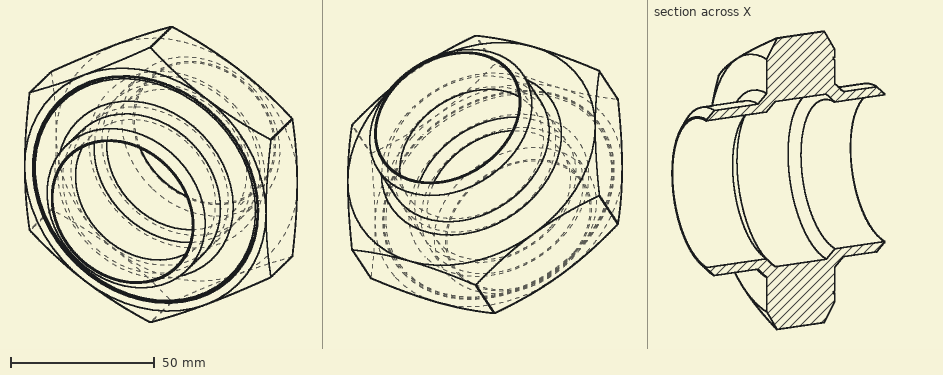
import cadquery as cq
import math

across_flats = 92.0
corner_diameter = 106.07
hex_width = 26.5
corner_chamfer_angle = 30.0

total_length = 69.0
front_end_length = 19.25
pipe_diameter = 60.3
collar_diameter = 67.0
end_face_width = 0.5
collar_height = (collar_diameter - pipe_diameter) / 2

bore_diameter = 53.3
chamber_depth = collar_height

groove_outer_diameter = 86.0
groove_floor_width = 0.5
groove_depth = 0.5

front_y = -front_end_length
back_y = front_y + total_length


def revolve_about_y(points):
    """Solid of revolution about Y from (radius, Y) points."""
    profile = cq.Workplane("XY").polyline(points).close()
    return profile.revolve(360, (0, 0, 0), (0, 1, 0))


def make_hexagon():
    """Hexagonal prism with vertical flats on +-X and both rims turned to cones."""
    flat_radius = across_flats / 2
    corner_radius = corner_diameter / 2
    drop = (corner_radius - flat_radius) * math.tan(math.radians(corner_chamfer_angle))
    prism = (
        cq.Workplane("XZ")
        .polygon(6, across_flats, circumscribed=True)
        .extrude(-hex_width)
    )
    turned_blank = revolve_about_y([
        (0, 0),
        (flat_radius, 0),
        (corner_radius, drop),
        (corner_radius, hex_width - drop),
        (flat_radius, hex_width),
        (0, hex_width),
    ])
    return prism.intersect(turned_blank)


def make_welding_end(face_y, end_y):
    """Pipe end with a conical collar at the hexagon face and a beveled tip."""
    outward = math.copysign(1, end_y - face_y)
    pipe_radius = pipe_diameter / 2
    tip_radius = bore_diameter / 2 + end_face_width
    bevel = pipe_radius - tip_radius
    return revolve_about_y([
        (0, face_y),
        (collar_diameter / 2, face_y),
        (pipe_radius, face_y + outward * collar_height),
        (pipe_radius, end_y - outward * bevel),
        (tip_radius, end_y),
        (0, end_y),
    ])


def make_bore():
    """Through bore that widens into a chamber between the hexagon faces."""
    bore_radius = bore_diameter / 2
    chamber_radius = bore_radius + chamber_depth
    return revolve_about_y([
        (0, front_y),
        (bore_radius, front_y),
        (bore_radius, 0),
        (chamber_radius, chamber_depth),
        (chamber_radius, hex_width - chamber_depth),
        (bore_radius, hex_width),
        (bore_radius, back_y),
        (0, back_y),
    ])


def make_face_groove():
    """Shallow ring groove with a straight outer wall and a conical inner wall."""
    outer_radius = groove_outer_diameter / 2
    floor_radius = outer_radius - groove_floor_width
    return revolve_about_y([
        (floor_radius - groove_depth, 0),
        (outer_radius, 0),
        (outer_radius, groove_depth),
        (floor_radius, groove_depth),
    ])


result = (
    make_hexagon()
    .union(make_welding_end(0, front_y))
    .union(make_welding_end(hex_width, back_y))
    .cut(make_bore())
    .cut(make_face_groove())
)